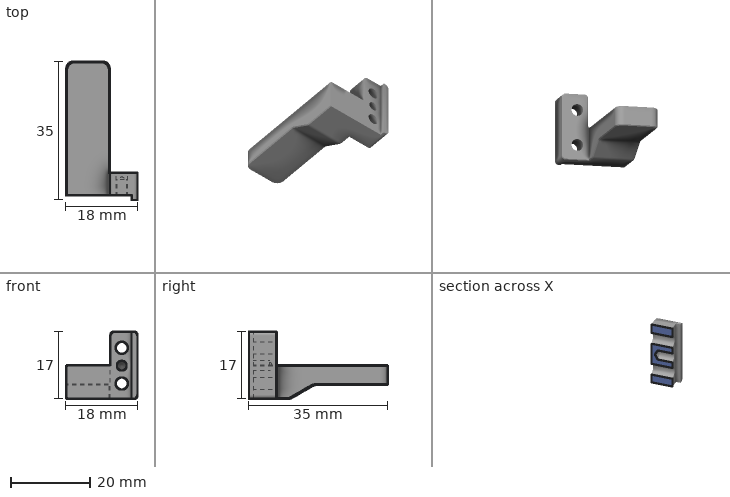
import cadquery as cq
import math

WIDTH = 18.0
LENGTH = 35.0
HEIGHT = 17.0

LIP_WIDTH = 1.5
LIP_DEPTH = 1.2

ARM_WIDTH = 11.0
ARM_TOP = 8.53
ARM_UNDERSIDE = 3.5
ARM_TIP_RADIUS = 2.0
HEEL_END_Y = 10.3
SLOPE_ANGLE = 30.0
SLOPE_BLEND_RADIUS = 2.0

POST_LEFT = 11.1
POST_BACK_Y = 7.0
POST_CORNER_RADIUS = 1.0
POST_FOOT_RADIUS = 0.35

ARM_CHAMFER = 0.25
POST_CHAMFER = 0.2

HOLE_X = 14.0
HOLE_ROW_Z = 8.4
SCREW_HOLE_DIAMETER = 3.0
HOLE_PITCH = 4.5
PILOT_DIAMETER = 2.5
PILOT_DEPTH = 4.0
DRILL_POINT_ANGLE = 118.0


def make_arm():
    """Arm with a sloped underside, rounded tip and chamfered top and bottom rims."""
    slope_run = ARM_UNDERSIDE / math.tan(math.radians(SLOPE_ANGLE))
    slope_end_y = HEEL_END_Y + slope_run
    arm = (
        cq.Workplane("YZ")
        .moveTo(LIP_DEPTH, 0)
        .lineTo(HEEL_END_Y, 0)
        .lineTo(slope_end_y, ARM_UNDERSIDE)
        .lineTo(LENGTH, ARM_UNDERSIDE)
        .lineTo(LENGTH, ARM_TOP)
        .lineTo(LIP_DEPTH, ARM_TOP)
        .close()
        .extrude(ARM_WIDTH)
    )
    margin = SLOPE_BLEND_RADIUS
    slope_ends = cq.selectors.BoxSelector(
        (0, HEEL_END_Y - margin, -margin),
        (ARM_WIDTH, slope_end_y + margin, ARM_UNDERSIDE + margin),
    )
    arm = arm.edges("|X").edges(slope_ends).fillet(SLOPE_BLEND_RADIUS)
    arm = arm.edges("|Z and >Y").fillet(ARM_TIP_RADIUS)
    rims = arm.faces("<X or >X or >Y").edges("not(|Z or <Y)")
    return rims.chamfer(ARM_CHAMFER)


def make_post():
    """Upright post with a concave foot on the arm and a chamfered back rim."""
    foot_left = POST_LEFT - POST_FOOT_RADIUS
    post = (
        cq.Workplane("XZ", origin=(0, LIP_DEPTH, 0))
        .moveTo(foot_left, 0)
        .lineTo(foot_left, ARM_TOP)
        .radiusArc((POST_LEFT, ARM_TOP + POST_FOOT_RADIUS), -POST_FOOT_RADIUS)
        .lineTo(POST_LEFT, HEIGHT)
        .lineTo(WIDTH, HEIGHT)
        .lineTo(WIDTH, 0)
        .close()
        .extrude(LIP_DEPTH - POST_BACK_Y)
    )
    post = post.edges("|Y and (>X or >Z)").fillet(POST_CORNER_RADIUS)
    return post.faces(">Y").edges().chamfer(POST_CHAMFER)


def make_lip():
    """Thin full-height lip in front of the post, rounded like the post corners."""
    lip = cq.Workplane("XY").box(LIP_WIDTH, LIP_DEPTH, HEIGHT, centered=False)
    lip = lip.translate((WIDTH - LIP_WIDTH, 0, 0))
    return lip.edges("|Y and >X").fillet(POST_CORNER_RADIUS)


def make_screw_hole(z):
    """Cutter for a screw hole running right through the post."""
    return (
        cq.Workplane("XZ", origin=(HOLE_X, 0, z))
        .circle(SCREW_HOLE_DIAMETER / 2)
        .extrude(-POST_BACK_Y)
    )


def make_pilot_hole(z):
    """Cutter for a blind drilled hole with a conical bottom."""
    radius = PILOT_DIAMETER / 2
    point_length = radius / math.tan(math.radians(DRILL_POINT_ANGLE / 2))
    floor_y = LIP_DEPTH + PILOT_DEPTH
    return (
        cq.Workplane("XY", origin=(HOLE_X, 0, z))
        .moveTo(0, LIP_DEPTH)
        .lineTo(radius, LIP_DEPTH)
        .lineTo(radius, floor_y)
        .lineTo(0, floor_y + point_length)
        .close()
        .revolve(360, (0, 0, 0), (0, 1, 0))
    )


result = make_arm().union(make_post()).union(make_lip())
for offset in (-HOLE_PITCH, HOLE_PITCH):
    result = result.cut(make_screw_hole(HOLE_ROW_Z + offset))
result = result.cut(make_pilot_hole(HOLE_ROW_Z))